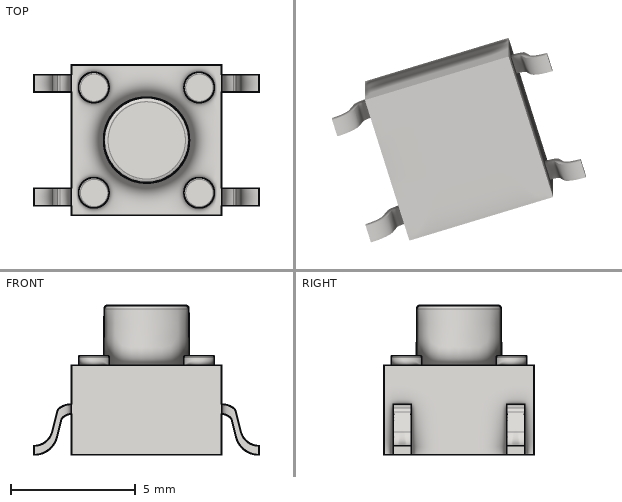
import cadquery as cq
import math

body_side = 6.03
body_height = 3.6

overall_height = 6.0
button_base_diameter = 3.45
button_top_diameter = 3.4
button_rim_radius = 0.15

rivet_diameter = 1.22
rivet_height = 0.38
rivet_pitch = 4.22
rivet_rim_radius = 0.06

overall_length = 9.02
lead_width = 0.71
lead_pitch = 4.55
lead_toe_thickness = 0.37
lead_embed = 0.2

lead_slope_angle = math.radians(76)

wall_x = -body_side / 2
toe_x = -overall_length / 2
upper_toe_radius = 0.75
upper_slope_length = 0.825
upper_bend_top = (-3.48, 1.89)
upper_root_z = 2.04
lower_toe_radius = 0.957
lower_slope_length = 0.68
lower_bend_top = (-3.34, 1.51)
lower_root_z = 1.64


def make_body():
    return cq.Workplane("XY").box(body_side, body_side, body_height, centered=(True, True, False))


def make_button():
    height = overall_height - body_height
    base = cq.Workplane("XY").workplane(offset=body_height).circle(button_base_diameter / 2)
    button = base.workplane(offset=height).circle(button_top_diameter / 2).loft()
    return button.faces(">Z").edges().fillet(button_rim_radius)


def make_rivets():
    top = cq.Workplane("XY").workplane(offset=body_height)
    rivets = top.rarray(rivet_pitch, rivet_pitch, 2, 2).circle(rivet_diameter / 2).extrude(rivet_height)
    return rivets.faces(">Z").edges().fillet(rivet_rim_radius)


def profile_point(x, z):
    return cq.Vector(x, 0, z)


def lead_outline(toe_z, toe_radius, slope_length, bend_top, root_z):
    """Tangent edges rising from the toe to the housing wall in the XZ plane."""

    def toe_arc_point(angle):
        x = toe_x + toe_radius * math.sin(angle)
        z = toe_z + toe_radius * (1 - math.cos(angle))
        return profile_point(x, z)

    slope_direction = profile_point(math.cos(lead_slope_angle), math.sin(lead_slope_angle))
    slope_start = toe_arc_point(lead_slope_angle)
    slope_end = slope_start + slope_direction * slope_length
    toe_arc = cq.Edge.makeThreePointArc(
        toe_arc_point(0), toe_arc_point(lead_slope_angle / 2), slope_start
    )
    slope = cq.Edge.makeLine(slope_start, slope_end)
    bend = cq.Edge.makeTangentArc(slope_end, slope_direction, profile_point(*bend_top))
    root = profile_point(wall_x, root_z)
    shoulder = cq.Edge.makeTangentArc(bend.endPoint(), bend.tangentAt(1), root)
    return [toe_arc, slope, bend, shoulder]


def make_lead(y_center):
    """One -X lead, its S-shaped profile extruded across its width about y_center."""
    upper = lead_outline(
        lead_toe_thickness, upper_toe_radius, upper_slope_length, upper_bend_top, upper_root_z
    )
    lower = lead_outline(0, lower_toe_radius, lower_slope_length, lower_bend_top, lower_root_z)
    embed_x = wall_x + lead_embed
    embedded_end = [
        profile_point(wall_x, upper_root_z),
        profile_point(embed_x, upper_root_z),
        profile_point(embed_x, lower_root_z),
        profile_point(wall_x, lower_root_z),
    ]
    root_edges = [cq.Edge.makeLine(p, q) for p, q in zip(embedded_end, embedded_end[1:])]
    toe_edge = cq.Edge.makeLine(profile_point(toe_x, 0), profile_point(toe_x, lead_toe_thickness))
    outline = cq.Wire.assembleEdges(upper + root_edges + lower[::-1] + [toe_edge])
    lead = cq.Solid.extrudeLinear(outline, [], cq.Vector(0, lead_width, 0))
    return cq.Workplane(lead.translate(cq.Vector(0, y_center - lead_width / 2, 0)))


result = make_body().union(make_button()).union(make_rivets())
for y_center in (-lead_pitch / 2, lead_pitch / 2):
    lead = make_lead(y_center)
    result = result.union(lead).union(lead.mirror("YZ"))